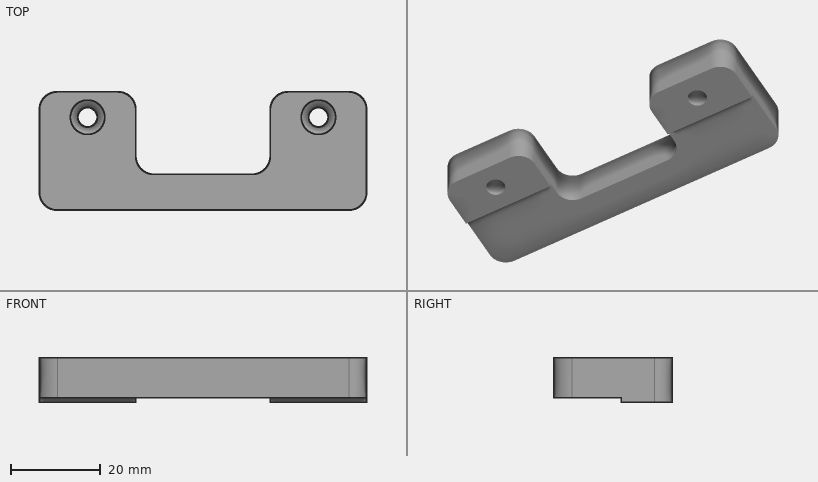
import cadquery as cq

length = 72.95
width = 26.4
height = 10.0

leg_width = 21.5
bridge_width = 8.0
corner_radius = 4.0

foot_height = 1.0
foot_length = 11.4

hole_diameter = 4.3
countersink_diameter = 7.65
countersink_angle = 90.0
hole_x = (length - leg_width) / 2
hole_y = width / 2 - foot_length / 2


def make_body():
    """U-shaped block with every upright edge rounded."""
    slot_depth = width - bridge_width
    block = cq.Workplane("XY").box(length, width, height, centered=(True, True, False))
    slot = (
        cq.Workplane("XY")
        .center(0, width / 2 - slot_depth / 2)
        .box(length - 2 * leg_width, slot_depth, height, centered=(True, True, False))
    )
    return block.cut(slot).edges("|Z").fillet(corner_radius)


def make_underside_relief():
    """Shallow step that leaves only the feet at full height."""
    relief_width = width - foot_length
    return (
        cq.Workplane("XY")
        .center(0, -width / 2 + relief_width / 2)
        .box(length, relief_width, foot_height, centered=(True, True, False))
    )


result = (
    make_body()
    .cut(make_underside_relief())
    .faces(">Z")
    .workplane(origin=(0, 0, height))
    .pushPoints([(-hole_x, hole_y), (hole_x, hole_y)])
    .cskHole(hole_diameter, countersink_diameter, countersink_angle)
)